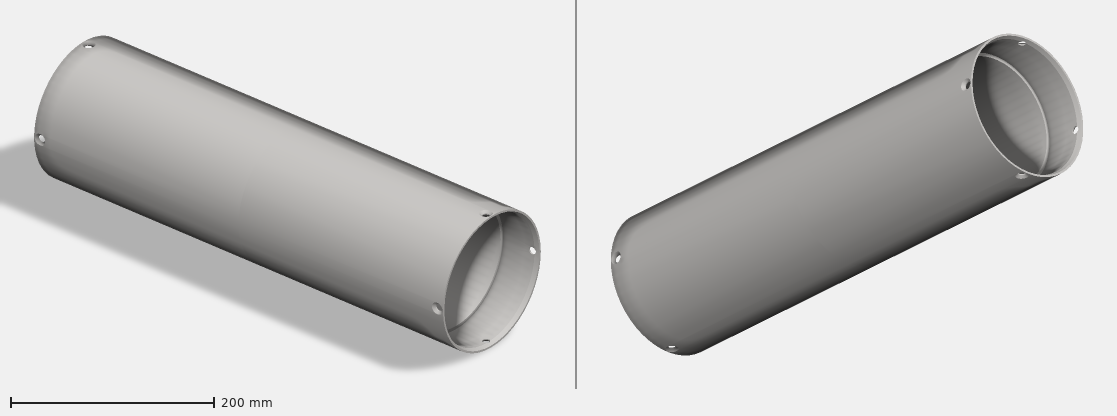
import cadquery as cq

length = 524.17
outer_diameter = 150.0
bore_diameter = 135.0

socket_diameter = 142.2
socket_depth = 45.0
mouth_diameter = 145.7
lead_in_depth = 4.75

holes_per_end = 4
hole_diameter = 8.0
countersink_diameter = 13.5
countersink_depth = (countersink_diameter - hole_diameter) / 2
hole_end_distance = 7.5

outer_radius = outer_diameter / 2
half_length = length / 2
wall_thickness = (outer_diameter - bore_diameter) / 2


def make_tube():
    """Revolve the tube wall, with its stepped bore, around the X axis."""
    bore_radius = bore_diameter / 2
    socket_radius = socket_diameter / 2
    mouth_radius = mouth_diameter / 2
    socket_floor_x = half_length - socket_depth
    lead_in_x = half_length - lead_in_depth
    half_wall = (
        cq.Workplane("XY")
        .moveTo(0, bore_radius)
        .lineTo(socket_floor_x, bore_radius)
        .lineTo(socket_floor_x, socket_radius)
        .lineTo(lead_in_x, socket_radius)
        .lineTo(half_length, mouth_radius)
        .lineTo(half_length, outer_radius)
        .lineTo(0, outer_radius)
        .close()
    )
    half_tube = half_wall.revolve(360, (0, 0, 0), (1, 0, 0))
    return half_tube.union(half_tube.mirror("YZ"))


def make_screw_hole_cutter(hole_x):
    """Countersunk hole pointing down through the top of the wall at hole_x."""
    return (
        cq.Workplane("XY", origin=(hole_x, 0, outer_radius))
        .circle(countersink_diameter / 2)
        .workplane(offset=-countersink_depth)
        .circle(hole_diameter / 2)
        .loft()
        .faces("<Z")
        .workplane()
        .circle(hole_diameter / 2)
        .extrude(wall_thickness)
    )


def cut_screw_holes(tube):
    """Cut the ring of radial screw holes at both ends of the tube."""
    hole_offset = half_length - hole_end_distance
    for hole_x in (-hole_offset, hole_offset):
        cutter = make_screw_hole_cutter(hole_x)
        for hole_index in range(holes_per_end):
            angle = hole_index * 360 / holes_per_end
            tube = tube.cut(cutter.rotate((0, 0, 0), (1, 0, 0), angle))
    return tube


result = cut_screw_holes(make_tube())